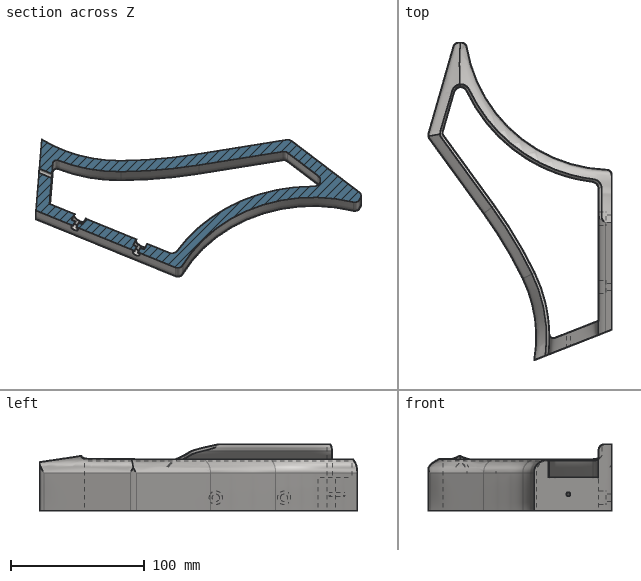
import cadquery as cq
import math


length = 237.56
height = 50.0
wall = 10.0
stock_height = 110.0
overrun = 400.0

upper_center = (0.0, 252.5)
upper_radius = 110.0
upper_roof_from = math.radians(100.0)
upper_roof_to = math.radians(350.0)

bow_center = (-156.6, 17.5)
bow_radius = 100.0
bow_start_angle = math.radians(-30.0)
bow_end_angle = math.radians(26.0)
easy_radius = 326.0
straight_angle = math.radians(36.0)

left_corner_x = -137.73
left_angle = math.radians(16.0)

front_right_y = 22.8
front_angle = math.radians(21.4)
crossbar_height = 25.0

outer_round = 4.0
left_outer_round = 5.0
inner_round = 5.0
left_inner_round = 4.0
crossbar_round = 3.0

roof_points = [(0.0, 28.7), (3.4, 35.9), (13.2, 41.6), (39.3, height)]
roof_end_slope = math.radians(12.0)
inner_chamfer = 2.5
right_rim_round = 5.0

mount_hole_diameter = 5.5
counterbore_diameter = 10.0
counterbore_depth = 5.5
mount_hole_ys = (55.0, 106.0)
mount_hole_z = 10.0
front_hole_diameter = 3.0
front_hole_x = -32.5
front_hole_z = crossbar_height / 2
front_hole_reach = 60.0


def polar(center, radius, angle):
    return (center[0] + radius * math.cos(angle), center[1] + radius * math.sin(angle))


def angle_from(center, point):
    return math.atan2(point[1] - center[1], point[0] - center[0]) % (2 * math.pi)


easy_center = polar(bow_center, bow_radius - easy_radius, bow_end_angle)
straight_start = polar(easy_center, easy_radius, straight_angle)
straight_run = (straight_start[0] - left_corner_x) / math.sin(straight_angle)
left_corner = polar(straight_start, straight_run, straight_angle + math.pi / 2)


def frame_outline(inset):
    """Sharp-cornered plan of the frame set in from its outer faces, running on past the front."""
    bow = bow_radius + inset
    easy = easy_radius + inset
    upper = upper_radius + inset
    front_left = polar(bow_center, bow, bow_start_angle)
    bow_middle = polar(bow_center, bow, (bow_start_angle + bow_end_angle) / 2)
    bow_end = polar(bow_center, bow, bow_end_angle)
    easy_middle = polar(easy_center, easy, (bow_end_angle + straight_angle) / 2)
    easy_end = polar(easy_center, easy, straight_angle)

    half_turn = (straight_angle + left_angle) / 2
    corner = polar(left_corner, inset / math.cos(half_turn), (straight_angle - left_angle) / 2)

    left_direction = math.pi / 2 - left_angle
    reach = math.dist(corner, upper_center)
    aside = angle_from(corner, upper_center) - left_direction
    tip_run = reach * math.cos(aside) - math.sqrt(upper**2 - (reach * math.sin(aside)) ** 2)
    tip = polar(corner, tip_run, left_direction)

    right_top = (-inset, upper_center[1] - math.sqrt(upper**2 - (inset + upper_center[0]) ** 2))
    upper_middle_angle = (angle_from(upper_center, tip) + angle_from(upper_center, right_top)) / 2
    return (
        cq.Workplane("XY")
        .moveTo(*front_left)
        .threePointArc(bow_middle, bow_end)
        .threePointArc(easy_middle, easy_end)
        .lineTo(*corner)
        .lineTo(*tip)
        .threePointArc(polar(upper_center, upper, upper_middle_angle), right_top)
        .lineTo(-inset, front_left[1])
        .close()
    )


def behind_front(setback):
    """Everything behind the slanting front face, moved back by setback."""
    return (
        cq.Workplane("XY")
        .box(2 * overrun, overrun, stock_height, centered=(True, False, False))
        .translate((0, setback, 0))
        .rotate((0, 0, 0), (0, 0, 1), math.degrees(front_angle))
        .translate((0, front_right_y, 0))
    )


def outer_block():
    """Solid frame up to its full height, without the opening or the roofs."""
    below_tip = cq.Workplane("XY").box(2 * overrun, 2 * length, 2 * height)
    block = frame_outline(0).extrude(height).intersect(below_tip).intersect(behind_front(0))
    block = block.edges("|Z").edges("<X").fillet(left_outer_round)
    block = block.faces(">Y").edges("|Z").fillet(outer_round)
    return block.edges("|Z").edges(">X").edges(">Y").fillet(outer_round)


def opening():
    """Space between the walls, open toward the front."""
    space = frame_outline(wall).extrude(stock_height)
    space = space.edges("|Z").edges("<X").fillet(left_inner_round)
    space = space.edges("|Z").edges(">Y").fillet(inner_round)
    return space.edges("|Z").edges(">X").edges(">Y").fillet(inner_round)


def roof_profile(start):
    """Space above a roof, which rounds over the outer edge at start and keeps climbing inward."""
    crown = [(start + distance, z) for distance, z in roof_points]
    far = crown[-1][0] + overrun
    far_z = height + overrun * math.tan(roof_end_slope)
    clearance = 5.0
    return (
        cq.Workplane("XZ")
        .moveTo(*crown[0])
        .spline(
            crown[1:],
            tangents=[(0, 1), (math.cos(roof_end_slope), math.sin(roof_end_slope))],
            includeCurrent=True,
        )
        .lineTo(far, far_z)
        .lineTo(far, far_z + stock_height)
        .lineTo(start - clearance, far_z + stock_height)
        .lineTo(start - clearance, crown[0][1])
        .close()
    )


def round_roof(center, radius, from_angle, to_angle):
    """Roof space over a wall whose outer face is an arc."""
    return (
        roof_profile(radius)
        .revolve(math.degrees(to_angle - from_angle), (0, 0, 0), (0, 1, 0))
        .rotate((0, 0, 0), (0, 0, 1), math.degrees(from_angle))
        .translate((*center, 0))
    )


def straight_roof(point, inward_angle, back):
    """Roof space over a straight wall, starting the given distance back from a point on it."""
    return (
        roof_profile(0)
        .extrude(-overrun)
        .translate((0, -back, 0))
        .rotate((0, 0, 0), (0, 0, 1), math.degrees(inward_angle))
        .translate((*point, 0))
    )


def under_roof(roof_spaces, space):
    """Stock around the opening below one wall's roof, with the inner top edge chamfered."""
    stock = (
        cq.Workplane("XY")
        .box(overrun, overrun, stock_height, centered=(True, False, False))
        .intersect(behind_front(0))
        .cut(space)
    )
    for roof_space in roof_spaces:
        stock = stock.cut(roof_space)
    touching = 1e-3
    rim = [
        edge
        for edge in stock.edges().vals()
        if edge.BoundingBox().zmin > roof_points[0][1]
        and cq.Vertex.makeVertex(*edge.positionAt(0.5).toTuple()).distance(space.val()) < touching
    ]
    return stock.newObject(rim).chamfer(inner_chamfer)


def right_rim_cutter():
    """Space outside the round along the inner top edge of the right wall."""
    return (
        cq.Workplane("XZ")
        .moveTo(-wall, height - right_rim_round)
        .radiusArc((-wall + right_rim_round, height), right_rim_round)
        .lineTo(-wall, height)
        .close()
        .extrude(-length)
    )


def crossbar(block, space):
    """Low bar across the front of the opening, with its inner left corner rounded."""
    window = space.intersect(behind_front(wall))
    window = window.edges("|Z").edges("<Y").fillet(crossbar_round)
    low = cq.Workplane("XY").box(2 * overrun, 2 * overrun, 2 * crossbar_height)
    return block.intersect(low).intersect(space).cut(window)


def mount_hole(y):
    """Hole through the right wall, counterbored from inside the frame."""
    plane = cq.Workplane("YZ", origin=(-wall, y, mount_hole_z))
    counterbore = plane.circle(counterbore_diameter / 2).extrude(counterbore_depth)
    return plane.circle(mount_hole_diameter / 2).extrude(wall).union(counterbore)


def front_hole():
    """Hole through the crossbar along Y."""
    plane = cq.Workplane("XZ", origin=(front_hole_x, 0, front_hole_z))
    return plane.circle(front_hole_diameter / 2).extrude(-front_hole_reach)


block = outer_block()
space = opening()

upper_roof = [round_roof(upper_center, upper_radius, upper_roof_from, upper_roof_to)]
left_roof = [straight_roof(left_corner, -left_angle, overrun / 2)]
lower_roof = [
    round_roof(bow_center, bow_radius, bow_start_angle, bow_end_angle),
    round_roof(easy_center, easy_radius, bow_end_angle, straight_angle),
    straight_roof(straight_start, straight_angle, 0),
]

walls = block.cut(space)
for roof in (upper_roof, left_roof, lower_roof):
    walls = walls.intersect(under_roof(roof, space))
walls = walls.cut(right_rim_cutter())

result = walls.union(crossbar(block, space))
for hole_y in mount_hole_ys:
    result = result.cut(mount_hole(hole_y))
result = result.cut(front_hole())